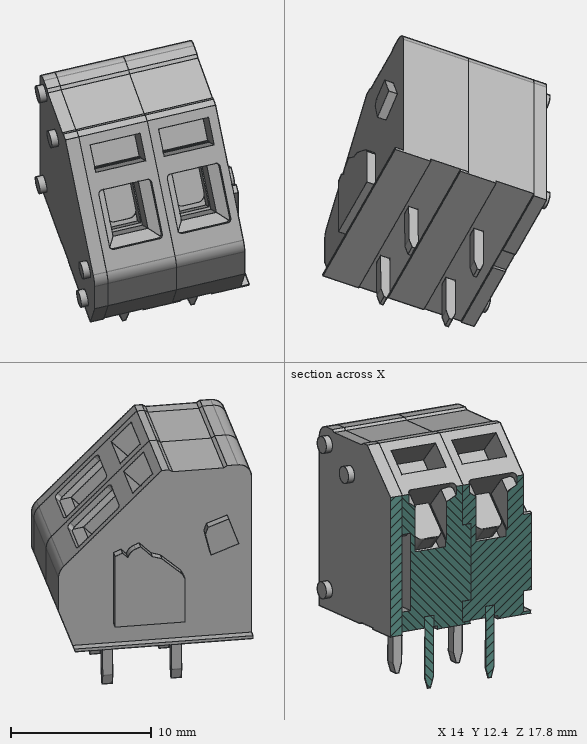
import cadquery as cq
import math

LENGTH = 14.0
HEIGHT = 13.5
PLATE_THICKNESS = 1.0
MODULE_PITCH = 5.09
MODULE_COUNT = 2
UNDERSIDE_Z = 0.23

BACK_RADIUS = 1.0
GROOVE_START_X = 1.78
GROOVE_END_X = 5.98
GROOVE_BEVEL = 0.25
GROOVE_DEPTH = 0.16
SLOPE_START_X = 6.53
SLOPE_ANGLE = math.radians(44.5)
NOSE_RADIUS = 1.25
NOSE_BOTTOM_Z = 2.99
BASE_LENGTH = 12.9

FOOT_WIDTH = 2.78
FOOT_OVERHANG = 0.62

SLOT_START = 0.75
SLOT_END = 2.78
SLOT_WIDTH = 3.72
SLOT_DEPTH = 2.31
SLOT_STEP_DEPTH = 1.78
SLOT_STEP_WIDTH = 0.07

ENTRY_START = 4.11
ENTRY_END = 8.49
ENTRY_WIDTH = 3.93
ENTRY_CORNER_RADIUS = 0.3
LIP_DEPTH = 0.46
FUNNEL_DEPTH = 0.27
BORE_END = 7.67
BORE_FRONT_Y = 1.1
BORE_WIDTH = 2.6
LEDGE_DEPTH = 2.75
LEDGE_WIDTH = 0.2
SIDE_LEDGE_WIDTH = 0.09
BORE_DEPTH = 3.91
TONGUE_END = 6.94
TONGUE_TOP_DEPTH = 2.49
TONGUE_CORNER_RADIUS = 0.59
TONGUE_FRONT_Y = 1.17
TONGUE_WIDTH = 2.25

KEY_HEIGHT = 0.68
UPPER_KEY_POINTS = [(1.05, 7.6), (1.78, 9.6), (3.27, 9.07), (3.47, 8.54), (3.06, 6.87)]

PEG_DIAMETER = 1.25
PEG_LENGTH = 0.52
PEG_CENTRES = [(1.2, 12.3), (4.2, 10.8), (12.33, 5.59), (11.76, 1.5), (1.2, 1.5)]

NOTCH_START_X = 5.55
NOTCH_END_X = 7.31
NOTCH_HEIGHT = 0.1

PIN_SIZE = 0.73
PIN_TIP_WIDTH = 0.25
PIN_TAPER_LENGTH = 0.8
PIN_BOTTOM_Z = -4.22
PIN_SEAT_DEPTH = 0.89
PIN_FIRST_X = 5.03
PINS_PER_MODULE = 2
PIN_PITCH = 5.0
PIN_MODULE_Y = 2.26
PIN_TILT = 0.7


def xz_prism(points, start_y, depth):
    """Prism of an X-Z outline that runs from start_y towards +Y."""
    return cq.Workplane("XZ", origin=(0, start_y, 0)).polyline(points).close().extrude(-depth)


def profile_prism(start_y, depth):
    """Full side profile of the block, extruded towards +Y from start_y."""
    nose_z = HEIGHT - (LENGTH - SLOPE_START_X) * math.tan(SLOPE_ANGLE)
    groove_z = HEIGHT - GROOVE_DEPTH
    outline = [
        (0, 0),
        (0, HEIGHT),
        (GROOVE_START_X, HEIGHT),
        (GROOVE_START_X + GROOVE_BEVEL, groove_z),
        (GROOVE_END_X - GROOVE_BEVEL, groove_z),
        (GROOVE_END_X, HEIGHT),
        (SLOPE_START_X, HEIGHT),
        (LENGTH, nose_z),
        (LENGTH, NOSE_BOTTOM_Z),
        (BASE_LENGTH, 0),
    ]
    middle_y = start_y + depth / 2
    back_edge = cq.selectors.NearestToPointSelector((0, middle_y, HEIGHT))
    nose_edge = cq.selectors.NearestToPointSelector((LENGTH, middle_y, nose_z))
    prism = xz_prism(outline, start_y, depth)
    prism = prism.edges(back_edge).fillet(BACK_RADIUS)
    return prism.edges(nose_edge).fillet(NOSE_RADIUS)


def slope_plane(module_y, depth):
    """Plane parallel to the slope at a depth below it: local x runs down the slope, local y along Y."""
    sine, cosine = math.sin(SLOPE_ANGLE), math.cos(SLOPE_ANGLE)
    origin = (SLOPE_START_X - depth * sine, module_y, HEIGHT - depth * cosine)
    return cq.Workplane(cq.Plane(origin=origin, xDir=(cosine, 0, -sine), normal=(sine, 0, cosine)))


def slope_rect(module_y, depth, start, end, front_y, width):
    """Rectangle at a depth below the slope, given by its ends along the slope and its Y extent."""
    centre = ((start + end) / 2, front_y + width / 2)
    return slope_plane(module_y, depth).center(*centre).rect(end - start, width)


def release_slot(module_y):
    """Straight slot that narrows by a small step near its floor."""
    front_y = (MODULE_PITCH - SLOT_WIDTH) / 2
    lower_end = SLOT_END - SLOT_STEP_WIDTH
    upper = slope_rect(module_y, 0, SLOT_START, SLOT_END, front_y, SLOT_WIDTH).extrude(-SLOT_STEP_DEPTH)
    lower = slope_rect(module_y, 0, SLOT_START, lower_end, front_y, SLOT_WIDTH).extrude(-SLOT_DEPTH)
    return upper.union(lower)


def wire_entry(module_y):
    """Round-cornered mouth, three-sided funnel and stepped bore with a tongue on its floor."""
    entry_front_y = (MODULE_PITCH - ENTRY_WIDTH) / 2
    bore_top = LIP_DEPTH + FUNNEL_DEPTH
    slope = slope_plane(module_y, 0).plane
    square_to_slope = cq.selectors.ParallelDirSelector(slope.zDir)
    furthest_down = cq.selectors.DirectionMinMaxSelector(slope.xDir)
    bore_low_width = BORE_WIDTH - SIDE_LEDGE_WIDTH

    mouth_rect = (ENTRY_START, ENTRY_END, entry_front_y, ENTRY_WIDTH)
    mouth = slope_rect(module_y, 0, *mouth_rect).extrude(-bore_top)
    mouth = mouth.edges(square_to_slope).fillet(ENTRY_CORNER_RADIUS)

    lip = slope_rect(module_y, LIP_DEPTH, *mouth_rect).extrude(LIP_DEPTH)
    funnel = (
        slope_rect(module_y, LIP_DEPTH, *mouth_rect)
        .workplane(offset=-FUNNEL_DEPTH)
        .center((BORE_END - ENTRY_END) / 2, BORE_FRONT_Y - entry_front_y + (BORE_WIDTH - ENTRY_WIDTH) / 2)
        .rect(BORE_END - ENTRY_START, BORE_WIDTH)
        .loft(ruled=True)
    )
    mouth = mouth.intersect(lip.union(funnel))

    upper_bore = slope_rect(module_y, bore_top, ENTRY_START, BORE_END, BORE_FRONT_Y, BORE_WIDTH)
    upper_bore = upper_bore.extrude(bore_top - LEDGE_DEPTH)
    lower_end = BORE_END - LEDGE_WIDTH
    lower_bore = slope_rect(module_y, LEDGE_DEPTH, ENTRY_START, lower_end, BORE_FRONT_Y, bore_low_width)
    lower_bore = lower_bore.extrude(LEDGE_DEPTH - BORE_DEPTH)

    tongue = slope_rect(module_y, BORE_DEPTH, ENTRY_START, TONGUE_END, TONGUE_FRONT_Y, TONGUE_WIDTH)
    tongue = tongue.extrude(BORE_DEPTH - TONGUE_TOP_DEPTH)
    tongue = tongue.edges(square_to_slope).edges(furthest_down).fillet(TONGUE_CORNER_RADIUS)
    return mouth.union(upper_bore).union(lower_bore).cut(tongue)


def keys(start_y):
    """Two flat interlocking keys, standing KEY_HEIGHT proud of the plane Y = start_y."""
    upper_key = xz_prism(UPPER_KEY_POINTS, start_y, KEY_HEIGHT)
    lower_key = (
        cq.Workplane("XZ", origin=(0, start_y, 0))
        .moveTo(4.95, 1.75)
        .lineTo(4.95, 5.15)
        .lineTo(5.15, 5.53)
        .lineTo(6.64, 6.87)
        .lineTo(7.31, 7.08)
        .lineTo(8.17, 7.93)
        .lineTo(8.54, 7.77)
        .threePointArc((8.9, 7.53), (9.09, 7.15))
        .lineTo(9.48, 7.55)
        .lineTo(10.02, 7.31)
        .lineTo(10.02, 1.75)
        .close()
        .extrude(-KEY_HEIGHT)
    )
    return upper_key.union(lower_key)


def pin(offset, y):
    """Square solder pin with a tapered tip; a module's pins lean together about its first pin."""
    half, half_tip = PIN_SIZE / 2, PIN_TIP_WIDTH / 2
    top_z = UNDERSIDE_Z + PIN_SEAT_DEPTH
    taper_z = PIN_BOTTOM_Z + PIN_TAPER_LENGTH
    outline = [
        (-half, top_z),
        (half, top_z),
        (half, taper_z),
        (half_tip, PIN_BOTTOM_Z),
        (-half_tip, PIN_BOTTOM_Z),
        (-half, taper_z),
    ]
    body = cq.Workplane("YZ").polyline(outline).close().extrude(half, both=True)
    leaning = body.translate((offset, 0, 0)).rotate((0, 0, 0), (0, 1, 0), PIN_TILT)
    return leaning.translate((PIN_FIRST_X, y, 0))


def module_pins(module_y):
    return [pin(i * PIN_PITCH, module_y + PIN_MODULE_Y) for i in range(PINS_PER_MODULE)]


def housing(module_y):
    """One terminal module: foot, slot, wire entry, rear keys, and front pockets for a neighbour's keys."""
    rear_y = module_y + MODULE_PITCH
    foot_y = rear_y + FOOT_OVERHANG - FOOT_WIDTH
    foot_slab = cq.Workplane().box(LENGTH, FOOT_WIDTH, UNDERSIDE_Z, centered=False).translate((0, foot_y, 0))
    base_slab = cq.Workplane().box(LENGTH, MODULE_PITCH, UNDERSIDE_Z, centered=False).translate((0, module_y, 0))
    foot = profile_prism(foot_y, FOOT_WIDTH).intersect(foot_slab)
    body = profile_prism(module_y, MODULE_PITCH).cut(base_slab).union(foot).union(keys(rear_y))
    body = body.cut(keys(module_y)).cut(release_slot(module_y)).cut(wire_entry(module_y))
    for seated_pin in module_pins(module_y):
        body = body.cut(seated_pin)
    return body


def end_plate():
    """Closing plate with round pegs on its outer face and a shallow notch in its lower edge."""
    pegs = cq.Workplane("XZ").pushPoints(PEG_CENTRES).circle(PEG_DIAMETER / 2).extrude(PEG_LENGTH)
    notch = [
        (NOTCH_START_X, 0),
        (NOTCH_START_X + NOTCH_HEIGHT, NOTCH_HEIGHT),
        (NOTCH_END_X - NOTCH_HEIGHT, NOTCH_HEIGHT),
        (NOTCH_END_X, 0),
    ]
    return profile_prism(0, PLATE_THICKNESS).cut(xz_prism(notch, 0, PLATE_THICKNESS)).union(pegs)


bodies = [end_plate().val()]
for index in range(MODULE_COUNT):
    start_y = PLATE_THICKNESS + index * MODULE_PITCH
    bodies.append(housing(start_y).val())
    bodies.extend(solder_pin.val() for solder_pin in module_pins(start_y))

result = cq.Compound.makeCompound(bodies)